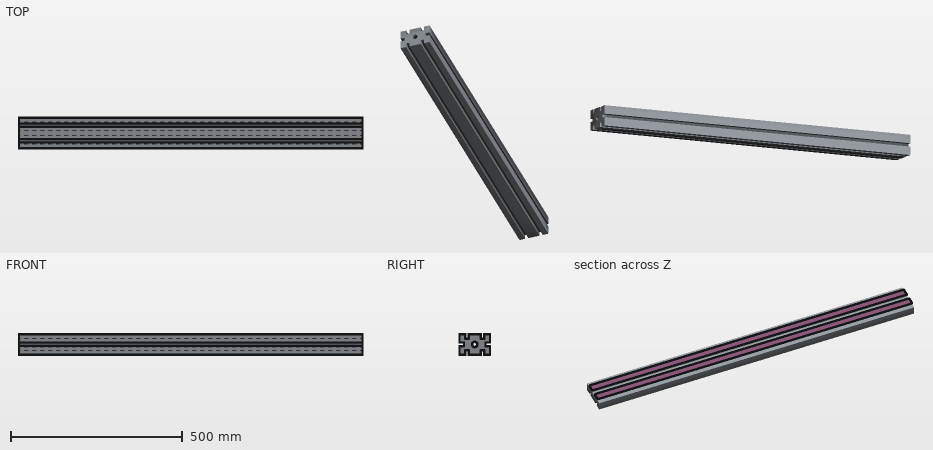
import cadquery as cq

length = 1000.0
width = 90.0
height = 60.0

groove_width = 10.0
groove_depth = 13.0
groove_offset = width / 4

bore_diameter = 15.0


def groove(size_y, size_z, center_y, center_z):
    """Full-length rectangular cutter centred at the given place in the section."""
    return cq.Workplane("XY").box(length, size_y, size_z).translate((0, center_y, center_z))


bar = cq.Workplane("XY").box(length, width, height)

for side in (-1, 1):
    side_center = side * (width - groove_depth) / 2
    bar = bar.cut(groove(groove_depth, groove_width, side_center, 0))

    face_center = side * (height - groove_depth) / 2
    for offset in (-groove_offset, groove_offset):
        bar = bar.cut(groove(groove_width, groove_depth, offset, face_center))

bore = cq.Workplane("YZ").circle(bore_diameter / 2).extrude(length / 2, both=True)
result = bar.cut(bore)